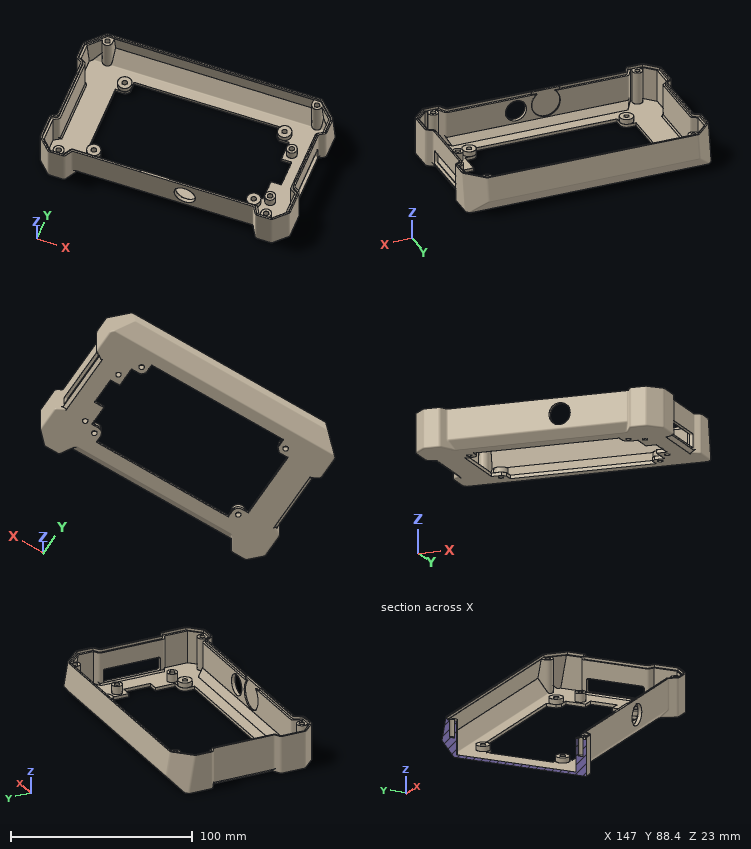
import cadquery as cq
import math

width = 147.0
half_width = width / 2
height = 23.0
front_y = -44.0
rear_top_y = 42.0
rear_lean = math.tan(math.radians(10))
rear_knee_y = 44.51
rear_foot_y = 37.1
floor = 2.0
wall = 2.0
end_recess_wall = 2.1
side_wall = 2.4

front_chamfer = 7.8
rear_chamfer = 10.3
corner_radius = 2.0
hollow_radius = 1.25
bottom_radius = 1.0

inner_front_chamfer = 6.0
inner_rear_top_y = 40.6
inner_rear_chamfer = 9.45
inner_rear_foot_y = 36.3
inner_knee_z = 10.3
inner_rear_foot_radius = 1.0

recess_overcut = 2.0
flank_slope = math.radians(60)
front_recess_depth = 4.8
front_recess_half = 53.3
front_recess_slope = (4.65, 5.0)
front_sill_radius = 1.5
front_recess_wall = 2.3
inner_recess_radius = 1.6
end_recess_depth = 3.7
end_recess_half = 18.8
end_recess_slope = (2.0, 2.0)

lip_height = 1.5
lip_width = 1.0
ledge_z = height - lip_height

board_half_x = 47.0
board_rear_y = 26.2
board_front_y = -22.3
board_boss_radius = 4.0
board_boss_top = 5.0
screw_hole = 2.9
tab_chamfer = 2.2
tab_radius = 3.95
notch_x = 57.1
notch_y = (-6.0, 10.2)

port_boss_x = 55.3
port_boss_y = (-18.6, 15.4)
boss_radius = 3.0
port_boss_height = 5.0

rear_post = (61.6, 38.2)
front_post = (61.0, -40.1)
post_hole_depth = 10.0
post_hole = 2.95

jack_x = 12.8
jack_z = 13.7
jack_diameter = 12.4
window_length = 35.0
window_z = (3.0, 11.0)
window_radius = 1.0
button_x = -5.1
button_z = 15.0
button_diameter = 17.0
button_skin = 1.5
inner_reach = 4.0


def box(x_range, y_range, z_range):
    size = [r[1] - r[0] for r in (x_range, y_range, z_range)]
    return cq.Workplane().box(*size, centered=False).translate((x_range[0], y_range[0], z_range[0]))


def cylinder(x, y, z_range, radius):
    return cq.Workplane(origin=(x, y, z_range[0])).circle(radius).extrude(z_range[1] - z_range[0])


def shell_outline(half, front, front_cut, rear, rear_cut):
    """Eight-sided outline with 45 degree corners."""
    right = [
        (half - front_cut, front),
        (half, front + front_cut),
        (half, rear - rear_cut),
        (half - rear_cut, rear),
    ]
    left = [(-x, y) for x, y in reversed(right)]
    return right + left


def leaning_prism(z_low, half, front, front_cut, rear, rear_cut):
    """Prism up to the rim whose rear face and rear corners lean; `rear` is taken at the rim."""
    depth = height - z_low
    low_rear = rear + depth * rear_lean
    base = cq.Workplane(origin=(0, 0, z_low))
    upright = base.polyline(shell_outline(half, front, front_cut, width, rear_cut)).close().extrude(depth)
    foot = base.polyline(shell_outline(half, -width, front_cut, low_rear, rear_cut)).close().val()
    leaning = cq.Solid.extrudeLinear(foot, [], cq.Vector(0, -depth * rear_lean, depth))
    return upright.intersect(cq.Workplane(leaning))


def rear_slope_wedge(foot, knee):
    """Wedge behind and below a plane that rises toward +Y through two (y, z) points."""
    run = (knee[0] - foot[0]) / (knee[1] - foot[1])
    low = (foot[0] - foot[1] * run, 0)
    high = (foot[0] + (height - foot[1]) * run, height)
    profile = cq.Workplane("YZ").polyline([low, high, (high[0], 0)]).close()
    return profile.extrude(width, both=True)


def recess(half, depth, slope, skin, sill_radius=0):
    """Recess into a wall lying on the X axis, cut toward +Y, grown by `skin` on every inner face."""
    run, rise = slope
    slope_shift = skin / math.sin(math.atan2(rise, run))
    bottom_y = depth + skin
    deepest_y = depth + run + slope_shift
    slope_top = rise * (deepest_y - bottom_y) / run
    mouth_y = -recess_overcut
    flank = half + skin / math.sin(flank_slope)
    mouth_half = flank + (depth - mouth_y) / math.tan(flank_slope)
    deepest_half = flank - (deepest_y - depth) / math.tan(flank_slope)
    plan = [
        (-mouth_half, mouth_y),
        (mouth_half, mouth_y),
        (deepest_half, deepest_y),
        (-deepest_half, deepest_y),
    ]
    profile = [
        (mouth_y, 0),
        (deepest_y, 0),
        (bottom_y, slope_top),
        (bottom_y, height),
        (mouth_y, height),
    ]
    prism = cq.Workplane("XY").polyline(plan).close().extrude(height)
    channel = cq.Workplane("YZ").polyline(profile).close().extrude(width, both=True)
    if sill_radius:
        sill = cq.selectors.NearestToPointSelector((0, bottom_y, slope_top))
        channel = channel.edges(sill).fillet(sill_radius)
    return prism.intersect(channel)


def place_recesses(front, end):
    """Move a front recess to the front wall and an end recess to both ends."""
    left = end.rotate((0, 0, 0), (0, 0, 1), -90).translate((-half_width, 0, 0))
    return [front.translate((0, front_y, 0)), left, left.mirror("YZ")]


def outer_recesses():
    """Recesses as cut into the outside of the case."""
    front = recess(front_recess_half, front_recess_depth, front_recess_slope, 0, front_sill_radius)
    end = recess(end_recess_half, end_recess_depth, end_recess_slope, 0)
    rounded = [void.edges("|Z").edges(">Y").fillet(hollow_radius) for void in (front, end)]
    return place_recesses(*rounded)


def inner_recesses(front_wall, end_wall):
    """Blocks that leave these wall thicknesses standing behind the recesses."""
    front = recess(front_recess_half, front_recess_depth, front_recess_slope, front_wall)
    end = recess(end_recess_half, end_recess_depth, end_recess_slope, end_wall)
    rounded = [block.edges("|Z").edges(">Y").fillet(inner_recess_radius) for block in (front, end)]
    return place_recesses(*rounded)


def is_outer_bottom_edge(edge):
    """True for edges under the upright walls, false where a sloping face meets the bottom."""
    start, end = edge.startPoint(), edge.endPoint()
    along_x = abs(start.y - end.y) < 0.01
    along_y = abs(start.x - end.x) < 0.01
    if along_x:
        return start.y < front_y + 0.01
    if along_y:
        return abs(start.x) > half_width - 0.01
    return True


def is_rear_underside(face):
    """True for the flat face that slopes from the bottom out to the rear knee."""
    normal = face.normalAt()
    return face.geomType() == "PLANE" and normal.y > 0.5 and normal.z < -0.5


def make_body():
    """Solid outside shape of the case, with rounded edges."""
    body = leaning_prism(0, half_width, front_y, front_chamfer, rear_top_y, rear_chamfer)
    body = body.edges("not(#Z or |Z)").fillet(corner_radius)
    knee_z = height - (rear_knee_y - rear_top_y) / rear_lean
    body = body.cut(rear_slope_wedge((rear_foot_y, 0), (rear_knee_y, knee_z)))
    for void in outer_recesses():
        body = body.cut(void)
    body = body.edges("|Z").filter(lambda edge: edge.Length() > height - 0.01).fillet(corner_radius)
    body = body.faces("<Z").edges().filter(is_outer_bottom_edge).fillet(bottom_radius)
    underside = body.faces().filter(is_rear_underside)
    return underside.edges().filter(lambda edge: edge.Center().z > 0.01).fillet(bottom_radius)


def make_cavity():
    """Inside space above the floor."""
    half = half_width - side_wall
    front = front_y + wall
    cavity = leaning_prism(floor, half, front, inner_front_chamfer, inner_rear_top_y, inner_rear_chamfer)
    knee = (inner_rear_top_y + (height - inner_knee_z) * rear_lean, inner_knee_z)
    cavity = cavity.cut(rear_slope_wedge((inner_rear_foot_y, floor), knee))
    cavity = cavity.edges("|X and <Z").edges(">Y").fillet(inner_rear_foot_radius)
    for block in inner_recesses(front_recess_wall, end_recess_wall):
        cavity = cavity.cut(block)
    return cavity


def make_floor_opening():
    """Rectangle with a side notch and a tab left in each corner for a board boss."""
    half_x = board_half_x + board_boss_radius
    rear = board_rear_y + board_boss_radius
    front = board_front_y - board_boss_radius
    z_range = (0, floor)
    opening = box((-half_x, half_x), (front, rear), z_range)
    for x in (-board_half_x, board_half_x):
        x_range = (x - board_boss_radius, x + board_boss_radius)
        inner_side = "<X" if x > 0 else ">X"
        rear_tab = box(x_range, (board_rear_y - board_boss_radius, rear), z_range)
        rear_tab = rear_tab.edges("|Z").edges("<Y").edges(inner_side).chamfer(tab_chamfer)
        front_tab = box(x_range, (front, board_front_y + board_boss_radius), z_range)
        front_tab = front_tab.edges("|Z").edges(">Y").edges(inner_side).fillet(tab_radius)
        opening = opening.cut(rear_tab).cut(front_tab)
    return opening.union(box((0, notch_x), notch_y, z_range))


def add_bosses(case):
    """Drilled bosses for the main board and for the small board beside the notch."""
    board_places = [(x, y) for x in (-board_half_x, board_half_x) for y in (board_front_y, board_rear_y)]
    port_places = [(port_boss_x, y) for y in port_boss_y]
    for places, radius, top in (
        (board_places, board_boss_radius, board_boss_top),
        (port_places, boss_radius, floor + port_boss_height),
    ):
        for x, y in places:
            case = case.union(cylinder(x, y, (0, top), radius))
            case = case.cut(cylinder(x, y, (0, top), screw_hole / 2))
    return case


def add_lid_posts(case, body):
    """Four posts up to the ledge; the rear ones are joined to the rear wall by a web."""
    for side in (-1, 1):
        rear_x = side * rear_post[0]
        web = box((rear_x - boss_radius, rear_x + boss_radius), (rear_post[1], rear_knee_y), (0, ledge_z))
        for x, y in ((rear_x, rear_post[1]), (side * front_post[0], front_post[1])):
            post = cylinder(x, y, (0, ledge_z), boss_radius)
            if y > 0:
                post = post.union(web)
            case = case.union(post.intersect(body))
            case = case.cut(cylinder(x, y, (ledge_z - post_hole_depth, ledge_z), post_hole / 2))
    return case


def make_rim_step():
    """Room for the lid inside the rim, kept clear of the thicker wall in front of the button pocket."""
    corner_loss = lip_width * (2 - math.sqrt(2))
    outline = shell_outline(
        half_width - lip_width,
        front_y + lip_width,
        front_chamfer - corner_loss,
        rear_top_y - lip_width,
        rear_chamfer - corner_loss,
    )
    step = cq.Workplane(origin=(0, 0, ledge_z)).polyline(outline).close().extrude(lip_height)
    for block in inner_recesses(lip_width, lip_width):
        step = step.cut(block)
    half = button_diameter / 2
    thick_rim = (front_y, front_y + front_recess_depth + button_skin)
    return step.cut(box((button_x - half, button_x + half), thick_rim, (ledge_z, height)))


def front_wall_cylinder(x, z, diameter, y_start):
    """Cylinder along Y through the front wall from `y_start` inward."""
    plane = cq.Workplane("XZ", origin=(x, y_start, z))
    return plane.circle(diameter / 2).extrude(-inner_reach)


body = make_body()
case = body.cut(make_cavity()).cut(make_floor_opening())
case = add_bosses(case)
case = add_lid_posts(case, body)
case = case.cut(make_rim_step())

front_wall_y = front_y + front_recess_depth
case = case.cut(front_wall_cylinder(jack_x, jack_z, jack_diameter, front_wall_y))
case = case.cut(front_wall_cylinder(button_x, button_z, button_diameter, front_wall_y + button_skin))
window_half = window_length / 2
window_inner_x = half_width - end_recess_depth - end_recess_wall
window = box((window_inner_x, half_width), (-window_half, window_half), window_z)
result = case.cut(window.edges("|X").fillet(window_radius))